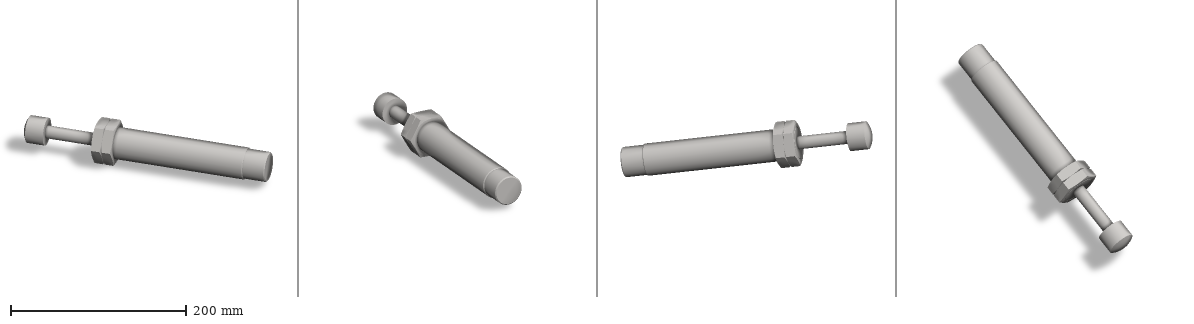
import cadquery as cq
import math

total_length = 292.0

cap_diameter = 32.0
dome_height = 5.0
cap_end_x = 26.3
rod_diameter = 15.0

body_start_x = 86.5
body_end_x = 265.7
body_diameter = 37.0
body_chamfer = 1.0
tail_diameter = 34.7
tail_chamfer = 1.2

nut_across_flats = 46.0
nut_across_corners = nut_across_flats / math.cos(math.radians(30))
nut_thickness = 12.3
nut_face_diameter = 45.3
nut_chamfer_angle = 15.0
nut_count = 2


def make_absorber():
    """Cap, rod, body and tail revolved around the X axis as one solid."""
    cap_radius = cap_diameter / 2
    rod_radius = rod_diameter / 2
    body_radius = body_diameter / 2
    body_face_radius = body_radius - body_chamfer
    tail_radius = tail_diameter / 2

    dome_radius = (cap_radius**2 + dome_height**2) / (2 * dome_height)
    half_angle = math.asin(cap_radius / dome_radius) / 2
    dome_middle = (dome_radius * (1 - math.cos(half_angle)), dome_radius * math.sin(half_angle))

    return (
        cq.Workplane("XY")
        .moveTo(0, 0)
        .threePointArc(dome_middle, (dome_height, cap_radius))
        .lineTo(cap_end_x, cap_radius)
        .lineTo(cap_end_x, rod_radius)
        .lineTo(body_start_x, rod_radius)
        .lineTo(body_start_x, body_face_radius)
        .lineTo(body_start_x + body_chamfer, body_radius)
        .lineTo(body_end_x - body_chamfer, body_radius)
        .lineTo(body_end_x, body_face_radius)
        .lineTo(body_end_x, tail_radius)
        .lineTo(total_length - tail_chamfer, tail_radius)
        .lineTo(total_length, tail_radius - tail_chamfer)
        .lineTo(total_length, 0)
        .close()
        .revolve(360, (0, 0, 0), (1, 0, 0))
    )


def make_nut(start_x):
    """Hexagonal nut with two corners on the Y axis and coned corners on both faces."""
    blank = (
        cq.Workplane("YZ", origin=(start_x, 0, 0))
        .polygon(6, nut_across_corners)
        .circle(body_diameter / 2)
        .extrude(nut_thickness)
    )

    face_radius = nut_face_diameter / 2
    corner_radius = nut_across_corners / 2
    cone_depth = (corner_radius - face_radius) * math.tan(math.radians(nut_chamfer_angle))
    end_x = start_x + nut_thickness
    envelope = (
        cq.Workplane("XY")
        .moveTo(start_x, 0)
        .lineTo(start_x, face_radius)
        .lineTo(start_x + cone_depth, corner_radius)
        .lineTo(end_x - cone_depth, corner_radius)
        .lineTo(end_x, face_radius)
        .lineTo(end_x, 0)
        .close()
        .revolve(360, (0, 0, 0), (1, 0, 0))
    )
    return blank.intersect(envelope)


absorber = make_absorber()
nuts = [make_nut(body_start_x + index * nut_thickness) for index in range(nut_count)]

result = cq.Compound.makeCompound([absorber.val(), *[nut.val() for nut in nuts]])